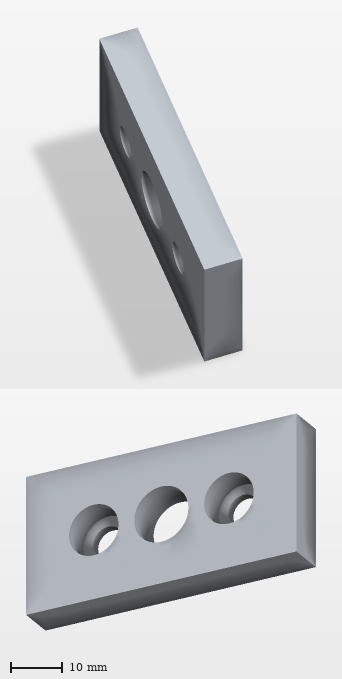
import cadquery as cq

length = 60.0
thickness = 8.0
height = length / 2
front = -thickness / 2

centre_hole_diameter = length / 5
side_hole_diameter = 6.6
side_hole_offset = length / 4

counterbore_diameter = 11.0
counterbore_floor = 2.0


def bore(x, diameter, front_depth=0):
    """Cylinder along Y that starts front_depth behind the front face and leaves through the back."""
    return (
        cq.Workplane("XZ", origin=(x, front + front_depth, 0))
        .circle(diameter / 2)
        .extrude(front_depth - thickness)
    )


result = cq.Workplane("XY").box(length, thickness, height)
result = result.cut(bore(0, centre_hole_diameter))
for side_x in (-side_hole_offset, side_hole_offset):
    result = result.cut(bore(side_x, side_hole_diameter))
    result = result.cut(bore(side_x, counterbore_diameter, counterbore_floor))